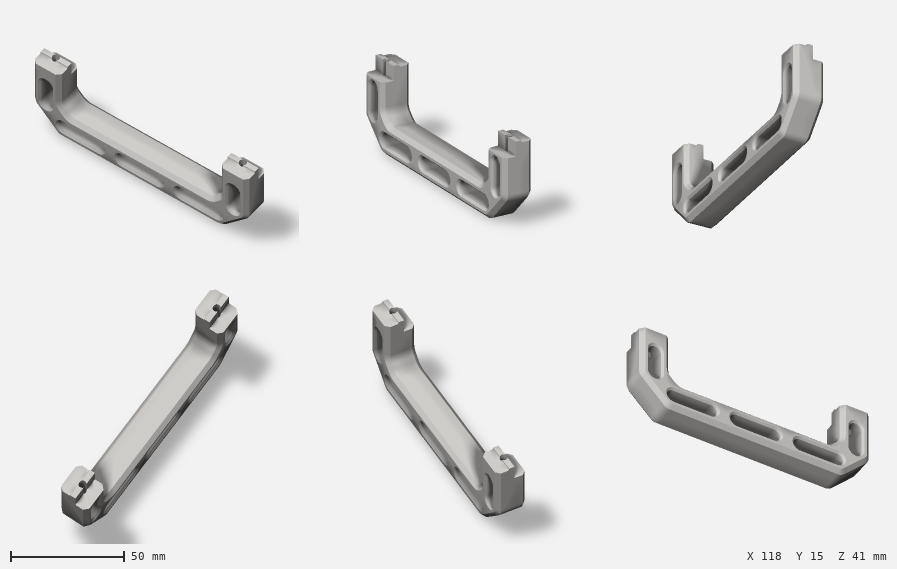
import cadquery as cq

length = 118.0
height = 41.0
section = 15.0

outer_bevel = 14.0
inner_bevel = 5.0
corner_radius = 5.0
edge_chamfer = 2.0

slot_width = 6.3
slot_chamfer = 1.0
bar_slot_length = 25.5
bar_slot_pitch = 32.5
bar_slot_count = 3
arm_slot_length = 18.4
arm_slot_z = 22.9

step_y = 1.4
step_depth = 7.1
ridge_front_y = -1.3
ledge_depth = 1.0
pin_diameter = 3.5

arm_x = (length - section) / 2
step_z = height - step_depth
ledge_z = height - ledge_depth


def make_frame():
    """U-shaped body with rounded bevels and chamfered front and back faces."""
    half = length / 2
    inside = half - section
    right_side = [
        (half - outer_bevel, 0),
        (half, outer_bevel),
        (half, height),
        (inside, height),
        (inside, section + inner_bevel),
        (inside - inner_bevel, section),
    ]
    left_side = [(-x, z) for x, z in reversed(right_side)]
    frame = (
        cq.Workplane("XZ")
        .polyline(right_side + left_side)
        .close()
        .extrude(section / 2, both=True)
    )
    below_arm_ends = cq.selectors.BoxSelector(
        (-length, -section, -height), (length, section, height - edge_chamfer)
    )
    side_edges = frame.edges("|Y").edges(below_arm_ends)
    frame = side_edges.fillet(corner_radius)
    return frame.faces("<Y or >Y").edges(below_arm_ends).chamfer(edge_chamfer)


def make_slot_cutter(x, z, slot_length, angle):
    """Through slot along Y, widened by a chamfer at both faces."""
    cutter = (
        cq.Workplane("XZ")
        .center(x, z)
        .slot2D(slot_length, slot_width, angle)
        .extrude(section / 2, both=True)
    )
    mouth_front = (
        cq.Workplane("XZ", origin=(0, -section / 2, 0))
        .center(x, z)
        .slot2D(slot_length + 2 * slot_chamfer, slot_width + 2 * slot_chamfer, angle)
        .extrude(-slot_chamfer, taper=45)
    )
    mouth_back = mouth_front.mirror("XZ")
    return cutter.union(mouth_front).union(mouth_back)


def make_arm_end_cutter():
    """Material removed above the arm ends, as one profile along the whole length."""
    ledge_start_y = ridge_front_y - ledge_depth
    ledge = (
        cq.Workplane("YZ", origin=(-length / 2, 0, 0))
        .moveTo(ridge_front_y, height)
        .radiusArc((ledge_start_y, ledge_z), ledge_depth)
        .lineTo(-section / 2, ledge_z)
        .lineTo(-section / 2, height)
        .close()
        .extrude(length)
    )
    step = cq.Workplane("XY").box(
        length, section / 2 - step_y, step_depth, centered=(True, False, False)
    ).translate((0, step_y, step_z))
    return ledge.union(step)


def make_pin_hole_cutter(x):
    """Vertical hole running from the arm end down into the arm slot."""
    return (
        cq.Workplane("XY", origin=(x, 0, arm_slot_z))
        .circle(pin_diameter / 2)
        .extrude(height - arm_slot_z)
    )


result = make_frame().cut(make_arm_end_cutter())

for index in range(bar_slot_count):
    slot_x = (index - (bar_slot_count - 1) / 2) * bar_slot_pitch
    result = result.cut(make_slot_cutter(slot_x, section / 2, bar_slot_length, 0))

for side in (-1, 1):
    result = result.cut(make_slot_cutter(side * arm_x, arm_slot_z, arm_slot_length, 90))
    result = result.cut(make_pin_hole_cutter(side * arm_x))